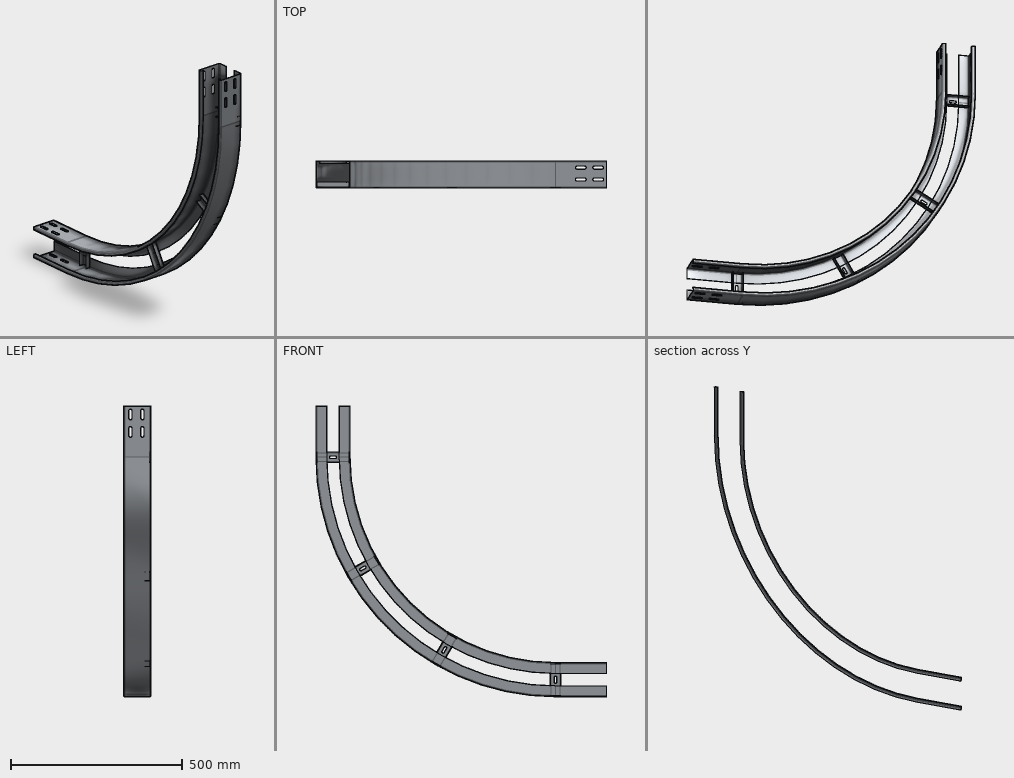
import cadquery as cq

OVERALL = 850.0
DEPTH = 80.0
ARM_LENGTH = 150.0
OUTER_RADIUS = OVERALL - ARM_LENGTH
RAIL_SPACING = 100.0
INNER_RADIUS = OUTER_RADIUS - RAIL_SPACING
CENTER = OUTER_RADIUS
BEND_ANGLE = 90

FLANGE = 32.0
SHEET = 1.5
FOLD_RADIUS = 3.8
HEM_WIDTH = 12.0
HEM_RETURN = 8.5

SLOT_LENGTH = 31.0
SLOT_WIDTH = 8.5
SLOT_END_DISTANCE = 25.0
SLOT_PITCH = 51.0
SLOT_ROW_SPACING = 35.0
SLOT_ROW_SHIFT = 2.5

RUNG_WIDTH = 31.5
RUNG_DEPTH = 16.0
RUNG_FOLD_RADIUS = 2.7
RUNG_LENGTH = RAIL_SPACING - 2 * FOLD_RADIUS
RUNG_MIDDLE_RADIUS = (OUTER_RADIUS + INNER_RADIUS) / 2
RUNG_SLOT_LENGTH = 20.0
RUNG_SLOT_WIDTH = 7.0
RUNG_ANGLES = (0, 30, 60, 90)

CUT_REACH = 3 * SHEET


def rail_section(plane):
    """Rail section: web on the plane's y axis, front flange at y = 0, hem at the back edge.

    The hem is a narrow back flange folded once more so its lip returns along the web.
    """
    inner_radius = FOLD_RADIUS - SHEET
    back = DEPTH
    lip_end = DEPTH - HEM_RETURN
    return (
        cq.Workplane(plane)
        .moveTo(FLANGE, 0)
        .lineTo(FOLD_RADIUS, 0)
        .radiusArc((0, FOLD_RADIUS), FOLD_RADIUS)
        .lineTo(0, back - FOLD_RADIUS)
        .radiusArc((FOLD_RADIUS, back), FOLD_RADIUS)
        .lineTo(HEM_WIDTH - FOLD_RADIUS, back)
        .radiusArc((HEM_WIDTH, back - FOLD_RADIUS), FOLD_RADIUS)
        .lineTo(HEM_WIDTH, lip_end)
        .lineTo(HEM_WIDTH - SHEET, lip_end)
        .lineTo(HEM_WIDTH - SHEET, back - FOLD_RADIUS)
        .radiusArc((HEM_WIDTH - FOLD_RADIUS, back - SHEET), -inner_radius)
        .lineTo(FOLD_RADIUS, back - SHEET)
        .radiusArc((SHEET, back - FOLD_RADIUS), -inner_radius)
        .lineTo(SHEET, FOLD_RADIUS)
        .radiusArc((FOLD_RADIUS, SHEET), -inner_radius)
        .lineTo(FLANGE, SHEET)
        .close()
    )


def rung_section(plane):
    """Rung section: web on the plane's y axis, legs along +x."""
    inner_radius = RUNG_FOLD_RADIUS - SHEET
    far_fold = RUNG_WIDTH - RUNG_FOLD_RADIUS
    return (
        cq.Workplane(plane)
        .moveTo(RUNG_DEPTH, 0)
        .lineTo(RUNG_FOLD_RADIUS, 0)
        .radiusArc((0, RUNG_FOLD_RADIUS), RUNG_FOLD_RADIUS)
        .lineTo(0, far_fold)
        .radiusArc((RUNG_FOLD_RADIUS, RUNG_WIDTH), RUNG_FOLD_RADIUS)
        .lineTo(RUNG_DEPTH, RUNG_WIDTH)
        .lineTo(RUNG_DEPTH, RUNG_WIDTH - SHEET)
        .lineTo(RUNG_FOLD_RADIUS, RUNG_WIDTH - SHEET)
        .radiusArc((SHEET, far_fold), -inner_radius)
        .lineTo(SHEET, RUNG_FOLD_RADIUS)
        .radiusArc((RUNG_FOLD_RADIUS, SHEET), -inner_radius)
        .lineTo(RUNG_DEPTH, SHEET)
        .close()
    )


def slot_cutters(web_position):
    """Two by two slots through the web of the upright arm."""
    first_z = OVERALL - SLOT_END_DISTANCE
    middle_y = DEPTH / 2 + SLOT_ROW_SHIFT
    points = [
        (middle_y + side * SLOT_ROW_SPACING / 2, first_z - row * SLOT_PITCH)
        for side in (-1, 1)
        for row in (0, 1)
    ]
    return (
        cq.Workplane(cq.Plane((web_position, 0, 0), xDir=(0, 1, 0), normal=(1, 0, 0)))
        .pushPoints(points)
        .slot2D(SLOT_LENGTH, SLOT_WIDTH, 90)
        .extrude(CUT_REACH, both=True)
    )


def mirrored_arm(arm):
    """Swap X and Z: the upright arm becomes the level arm."""
    return arm.mirror((1, 0, -1))


def make_rail(radius, leg_direction):
    """Rail with its web's outside face at the given radius; legs point along leg_direction in X."""
    web_x = CENTER - radius
    plane = cq.Plane((web_x, 0, CENTER), xDir=(leg_direction, 0, 0), normal=(0, 0, leg_direction))
    upright = rail_section(plane).extrude(leg_direction * ARM_LENGTH).cut(slot_cutters(web_x))
    level = mirrored_arm(upright)
    axis_x = leg_direction * radius
    bend = rail_section(plane).revolve(BEND_ANGLE, (axis_x, 0), (axis_x, -1))
    return upright.union(bend, clean=False).union(level, clean=False)


def make_rung(angle):
    """U channel lying radially across both rails, web against the inside of the front flanges."""
    plane = cq.Plane(
        (CENTER - RUNG_MIDDLE_RADIUS - RUNG_LENGTH / 2, SHEET, CENTER - RUNG_WIDTH / 2),
        xDir=(0, 1, 0),
        normal=(1, 0, 0),
    )
    slot = (
        cq.Workplane("XZ", origin=(CENTER - RUNG_MIDDLE_RADIUS, 0, CENTER))
        .slot2D(RUNG_SLOT_LENGTH, RUNG_SLOT_WIDTH)
        .extrude(CUT_REACH, both=True)
    )
    rung = rung_section(plane).extrude(RUNG_LENGTH)
    return rung.cut(slot).rotate((CENTER, 0, CENTER), (CENTER, 1, CENTER), -angle)


outer_rail = make_rail(OUTER_RADIUS, 1)
inner_rail = make_rail(INNER_RADIUS, -1)
rungs = [make_rung(angle) for angle in RUNG_ANGLES]

result = cq.Compound.makeCompound([outer_rail.val(), inner_rail.val(), *[rung.val() for rung in rungs]])